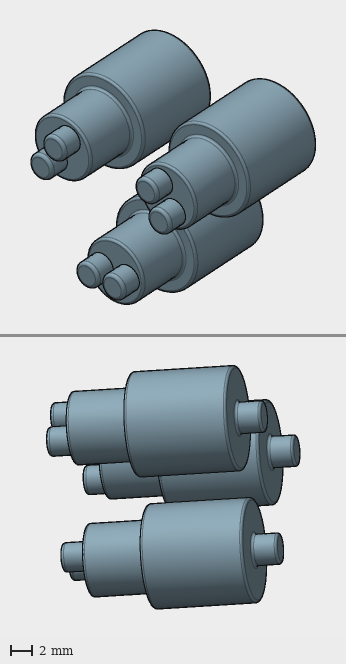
import cadquery as cq
import math

UNIT_COUNT = 3
BODY_DIAMETER = 10.0
OVERALL_WIDTH = 23.0
UNIT_SPACING = OVERALL_WIDTH - BODY_DIAMETER
LAYOUT_RADIUS = UNIT_SPACING / math.sqrt(3)

OVERALL_LENGTH = 20.75
PIN_LENGTH = 2.25
BODY_LENGTH = BODY_DIAMETER
STUB_LENGTH = 2.5
BARREL_LENGTH = OVERALL_LENGTH - PIN_LENGTH - BODY_LENGTH - STUB_LENGTH

BARREL_DIAMETER = 7.0
STUB_DIAMETER = 3.0
HOUSING_FILLET = 0.25

PIN_DIAMETER = 2.8
PIN_SPACING = 3.2
PIN_TIP_FILLET = 0.35

BARREL_FRONT = -BARREL_LENGTH
BODY_REAR = BODY_LENGTH
STUB_REAR = BODY_REAR + STUB_LENGTH


def make_housing():
    """Barrel, body and rear stub turned about the Y axis, every corner rounded."""
    half_profile = [
        (0, BARREL_FRONT),
        (BARREL_DIAMETER / 2, BARREL_FRONT),
        (BARREL_DIAMETER / 2, 0),
        (BODY_DIAMETER / 2, 0),
        (BODY_DIAMETER / 2, BODY_REAR),
        (STUB_DIAMETER / 2, BODY_REAR),
        (STUB_DIAMETER / 2, STUB_REAR),
        (0, STUB_REAR),
    ]
    turned = cq.Workplane("XY").polyline(half_profile).close().revolve(360, (0, 0, 0), (0, 1, 0))
    return turned.edges("%CIRCLE").fillet(HOUSING_FILLET)


def make_pin(x_offset):
    """Pin running forward from the barrel face, with a rounded tip."""
    barrel_face = cq.Workplane("XZ", origin=(x_offset, BARREL_FRONT, 0))
    pin = barrel_face.circle(PIN_DIAMETER / 2).extrude(PIN_LENGTH)
    return pin.faces("<Y").edges().fillet(PIN_TIP_FILLET)


def place_in_layout(part, index):
    """Move a part to the lowest corner of the triangle, then turn it to corner `index`."""
    angle = index * 360 / UNIT_COUNT
    return part.translate((0, 0, -LAYOUT_RADIUS)).rotate((0, 0, 0), (0, 1, 0), angle)


housings = []
pins = []
for unit in range(UNIT_COUNT):
    housings.append(place_in_layout(make_housing(), unit).val())
    for side in (-1, 1):
        pin = make_pin(side * PIN_SPACING / 2)
        pins.append(place_in_layout(pin, unit).val())

result = cq.Compound.makeCompound([*housings, *pins])